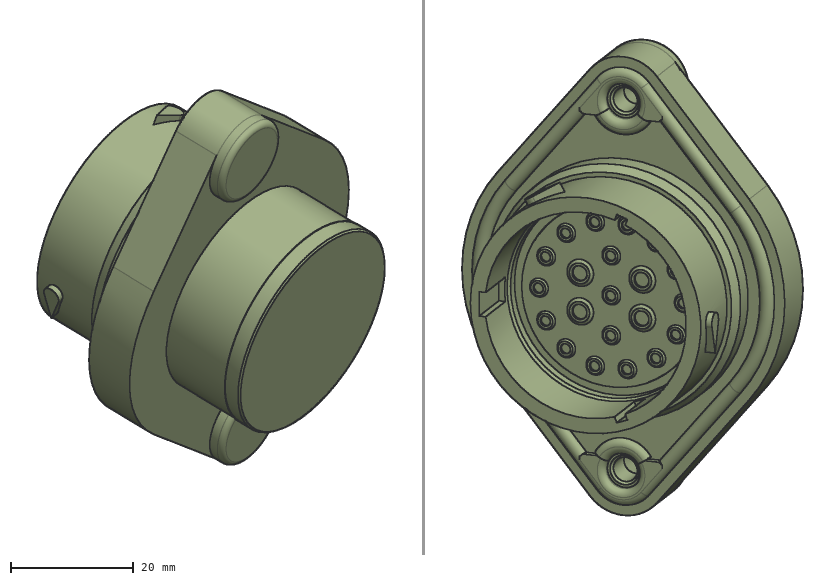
import cadquery as cq
import math

shoulder_x = 12.3
shoulder_full_x = 14.15
flange_front_x = 17.7
flange_back_x = 26.3
boss_end_x = 28.85
rear_collar_x = 38.7
overall_length = 41.8

barrel_diameter = 40.1
shoulder_start_diameter = 41.7
shoulder_diameter = 43.5
rear_diameter = 37.4
rear_collar_diameter = 37.6
rear_chamfer = 0.3

cavity_diameter = 35.0
cavity_inner_diameter = 34.4
cavity_taper_start = 10.3
cavity_taper_end = 11.1
cavity_depth = 13.0
insert_diameter = 31.2
insert_face_x = 12.05

keyways = [(180, 4.15), (70, 1.95), (-70, 1.95)]
keyway_outer_radius = 18.5
keyway_length = 9.2

contact_height = 0.4
small_contact_base = 3.2
small_contact_top = 2.6
small_contact_bore = 1.7
large_contact_base = 4.6
large_contact_top = 3.5
large_contact_bore = 2.6
contact_bore_depth = 0.5
outer_contact_count = 14
outer_contact_radius = 12.6
inner_contact_offset = 6.8
large_contact_y = 5.4
large_contact_z = 3.3

flange_height = 78.2
flange_width = 56.2
tip_radius = 7.6
tip_z = flange_height / 2 - tip_radius
side_radius = 26.75
side_center_y = flange_width / 2 - side_radius
boss_edge_round = 1.0

bead_inset = 3.05
bead_half_width = 1.25
bead_height = 1.2
bead_root = 0.2
bead_crest_x = flange_front_x - bead_height

pad_inner_z = 29.0
pad_corner_y = 7.2
pad_corner_z = 29.5
pad_notch_slope = 31.0
ring_crest_radius = 4.45
ring_outer_radius = 5.6

hole_mouth_radius = 4.15
hole_throat_radius = 3.0
hole_lead_in_radius = 2.5
hole_diameter = 4.15
hole_ledge_depth = 1.7
hole_lead_in = 0.4
hole_depth = 7.0
hole_cone_height = 0.8

mark_count = 3
mark_x = 3.9
mark_head_radius = 1.6
mark_tail_length = 5.3
mark_face_radius = 21.1
mark_root_radius = 18.8


def cylinder(diameter, start_x, end_x, z):
    """Cylinder along X between two stations."""
    plane = cq.Workplane("YZ", origin=(start_x, 0, z))
    return plane.circle(diameter / 2).extrude(end_x - start_x)


def tangent_angle():
    """Angle above Y of the normal to the straight flange edges."""
    reach = math.hypot(tip_z, side_center_y)
    lean = math.atan2(side_center_y, tip_z)
    return math.asin((side_radius - tip_radius) / reach) + lean


edge_angle = tangent_angle()


def tip_point(inset, side):
    """Upper point where a tip arc meets a straight edge, on the +Y or -Y side."""
    radius = tip_radius - inset
    return side * radius * math.cos(edge_angle), tip_z + radius * math.sin(edge_angle)


def side_point(inset, side):
    """Upper point where a side arc meets a straight edge, on the +Y or -Y side."""
    radius = side_radius - inset
    return side * (side_center_y + radius * math.cos(edge_angle)), radius * math.sin(edge_angle)


def mirrored(point):
    """Point reflected from the upper to the lower half of the flange."""
    return point[0], -point[1]


def outline_wire(plane, inset):
    """Closed flange outline moved inwards by the inset."""
    tip = flange_height / 2 - inset
    side = flange_width / 2 - inset
    right = side_point(inset, 1)
    left = side_point(inset, -1)
    right_tip = tip_point(inset, 1)
    left_tip = tip_point(inset, -1)
    return (
        plane.moveTo(*right_tip)
        .lineTo(*right)
        .threePointArc((side, 0), mirrored(right))
        .lineTo(*mirrored(right_tip))
        .threePointArc((0, -tip), mirrored(left_tip))
        .lineTo(*mirrored(left))
        .threePointArc((-side, 0), left)
        .lineTo(*left_tip)
        .threePointArc((0, tip), right_tip)
        .close()
    )


def flange_prism(inset, start_x, end_x):
    """Flange outline moved inwards by the inset and extruded along X."""
    plane = cq.Workplane("YZ", origin=(start_x, 0, 0))
    return outline_wire(plane, inset).extrude(end_x - start_x)


def turned_body():
    """Barrel, shoulder and rear body turned about the X axis."""
    profile = [
        (0, 0),
        (0, barrel_diameter / 2),
        (shoulder_x, barrel_diameter / 2),
        (shoulder_x, shoulder_start_diameter / 2),
        (shoulder_full_x, shoulder_diameter / 2),
        (flange_back_x, shoulder_diameter / 2),
        (flange_back_x, rear_diameter / 2),
        (rear_collar_x, rear_diameter / 2),
        (rear_collar_x, rear_collar_diameter / 2),
        (overall_length - rear_chamfer, rear_collar_diameter / 2),
        (overall_length, rear_collar_diameter / 2 - rear_chamfer),
        (overall_length, 0),
    ]
    return cq.Workplane("XY").polyline(profile).close().revolve(360, (0, 0, 0), (1, 0, 0))


def boss(z):
    """Round boss behind a flange tip, with a rounded rear edge."""
    post = cylinder(2 * tip_radius, flange_front_x, boss_end_x, z)
    return post.faces(">X").edges().fillet(boss_edge_round)


def sealing_bead():
    """Half-round bead following the flange outline."""
    path = outline_wire(cq.Workplane("YZ", origin=(flange_front_x, 0, 0)), bead_inset)
    start_y, start_z = tip_point(bead_inset, 1)
    outward = (0, math.cos(edge_angle), math.sin(edge_angle))
    along = (0, -math.sin(edge_angle), math.cos(edge_angle))
    section = cq.Plane((flange_front_x, start_y, start_z), outward, along)
    profile = (
        cq.Workplane(section)
        .moveTo(-bead_half_width, -bead_root)
        .lineTo(-bead_half_width, 0)
        .threePointArc((0, bead_height), (bead_half_width, 0))
        .lineTo(bead_half_width, -bead_root)
        .close()
    )
    return profile.sweep(path)


def hole_ring(z):
    """Raised arc round the side of a hole nearest the connector axis, between the pad notch edges."""
    diagonal = math.sqrt(0.5)
    outer_run = ring_outer_radius - ring_crest_radius
    inner_run = ring_crest_radius - hole_throat_radius
    profile = (
        cq.Workplane("XY", origin=(0, 0, z))
        .moveTo(flange_front_x + bead_root, hole_throat_radius)
        .lineTo(flange_front_x, hole_throat_radius)
        .threePointArc(
            (flange_front_x - bead_height * diagonal, ring_crest_radius - inner_run * diagonal),
            (bead_crest_x, ring_crest_radius),
        )
        .threePointArc(
            (flange_front_x - bead_height * diagonal, ring_crest_radius + outer_run * diagonal),
            (flange_front_x, ring_outer_radius),
        )
        .lineTo(flange_front_x + bead_root, ring_outer_radius)
        .close()
    )
    start_angle = pad_notch_slope - 180 if z > 0 else pad_notch_slope
    sector = profile.revolve(180 - 2 * pad_notch_slope, (0, 0, 0), (1, 0, 0))
    return sector.rotate((0, 0, z), (1, 0, z), start_angle)


def tip_pads():
    """Flat pads between the bead and the hole rings, level with the bead crest."""
    corner_run = (pad_corner_z - pad_inner_z) / math.tan(edge_angle)
    edge_y = pad_corner_y - corner_run
    notch_y = (tip_z - pad_inner_z) / math.tan(math.radians(pad_notch_slope))
    window = (
        cq.Workplane("YZ", origin=(bead_crest_x, 0, 0))
        .moveTo(0, tip_z)
        .lineTo(notch_y, pad_inner_z)
        .lineTo(edge_y, pad_inner_z)
        .lineTo(pad_corner_y, pad_corner_z)
        .lineTo(pad_corner_y, flange_height / 2)
        .lineTo(-pad_corner_y, flange_height / 2)
        .lineTo(-pad_corner_y, pad_corner_z)
        .lineTo(-edge_y, pad_inner_z)
        .lineTo(-notch_y, pad_inner_z)
        .close()
        .extrude(bead_height)
    )
    pad = flange_prism(bead_inset, bead_crest_x, flange_front_x).intersect(window)
    return pad.union(pad.mirror("XY"))


def mounting_hole(z):
    """Blind hole with a ledge, a lead-in and a conical bottom, below the mouth."""
    ledge_x = bead_crest_x + hole_ledge_depth
    bottom_x = bead_crest_x + hole_depth
    profile = [
        (bead_crest_x, 0),
        (bead_crest_x, hole_throat_radius),
        (ledge_x, hole_throat_radius),
        (ledge_x, hole_lead_in_radius),
        (ledge_x + hole_lead_in, hole_diameter / 2),
        (bottom_x, hole_diameter / 2),
        (bottom_x + hole_cone_height, 0),
    ]
    plane = cq.Workplane("XY", origin=(0, 0, z))
    return plane.polyline(profile).close().revolve(360, (0, 0, 0), (1, 0, 0))


def hole_mouth(z):
    """Flare that rounds the edge of a pad into the hole."""
    mouth_round = hole_mouth_radius - hole_throat_radius
    bend = mouth_round * (1 - math.sqrt(0.5))
    profile = (
        cq.Workplane("XY", origin=(0, 0, z))
        .moveTo(bead_crest_x, 0)
        .lineTo(bead_crest_x, hole_mouth_radius)
        .threePointArc(
            (bead_crest_x + bend, hole_throat_radius + bend),
            (bead_crest_x + mouth_round, hole_throat_radius),
        )
        .lineTo(bead_crest_x + mouth_round, 0)
        .close()
    )
    return profile.revolve(360, (0, 0, 0), (1, 0, 0))


def cavity():
    """Open barrel bore with a tapered step, leaving the contact insert standing."""
    profile = [
        (0, 0),
        (0, cavity_diameter / 2),
        (cavity_taper_start, cavity_diameter / 2),
        (cavity_taper_end, cavity_inner_diameter / 2),
        (cavity_depth, cavity_inner_diameter / 2),
        (cavity_depth, insert_diameter / 2),
        (insert_face_x, insert_diameter / 2),
        (insert_face_x, 0),
    ]
    return cq.Workplane("XY").polyline(profile).close().revolve(360, (0, 0, 0), (1, 0, 0))


def keyway(angle, width):
    """Axial groove in the cavity wall, open at the mouth."""
    slot = cq.Workplane("XY").box(
        keyway_length, keyway_outer_radius, width, centered=(False, False, True)
    )
    slot = slot.translate((0, -keyway_outer_radius, 0))
    return slot.rotate((0, 0, 0), (1, 0, 0), -angle)


def teardrop_mark(angle):
    """Flat-topped teardrop standing on the barrel, its tail pointing round the barrel."""
    half_chord = math.acos(mark_head_radius / mark_tail_length)
    tangent_x = mark_head_radius * math.sin(half_chord)
    tangent_z = -mark_head_radius * math.cos(half_chord)
    drop = (
        cq.Workplane("XZ", origin=(mark_x, -mark_root_radius, 0))
        .moveTo(0, -mark_tail_length)
        .lineTo(tangent_x, tangent_z)
        .threePointArc((0, mark_head_radius), (-tangent_x, tangent_z))
        .close()
        .extrude(mark_face_radius - mark_root_radius)
    )
    return drop.rotate((0, 0, 0), (1, 0, 0), -angle)


def contact_layout():
    """Positions of the small and the large contacts."""
    small = [(0, 0), (0, inner_contact_offset), (0, -inner_contact_offset)]
    for index in range(outer_contact_count):
        angle = 2 * math.pi * index / outer_contact_count
        small.append((outer_contact_radius * math.cos(angle), outer_contact_radius * math.sin(angle)))
    large = [(y * large_contact_y, z * large_contact_z) for y in (-1, 1) for z in (-1, 1)]
    return small, large


def add_contacts(body, places, base, top, bore):
    """Tapered collars with blind bores on the insert face."""
    face = cq.Workplane("YZ", origin=(insert_face_x, 0, 0)).pushPoints(places)
    taper = math.degrees(math.atan2((base - top) / 2, contact_height))
    collars = face.circle(base / 2).extrude(-contact_height, taper=taper)
    top_face = cq.Workplane("YZ", origin=(insert_face_x - contact_height, 0, 0))
    bores = top_face.pushPoints(places).circle(bore / 2).extrude(contact_bore_depth)
    return body.union(collars).cut(bores)


body = turned_body().union(flange_prism(0, flange_front_x, flange_back_x))
pads = tip_pads()
for hole_z in (tip_z, -tip_z):
    body = body.union(boss(hole_z))
    pads = pads.cut(hole_mouth(hole_z))
body = body.union(sealing_bead()).union(pads)
for hole_z in (tip_z, -tip_z):
    body = body.union(hole_ring(hole_z)).cut(mounting_hole(hole_z))

for index in range(mark_count):
    body = body.union(teardrop_mark(index * 360 / mark_count))
body = body.cut(cavity())
for angle, width in keyways:
    body = body.cut(keyway(angle, width))

small_contacts, large_contacts = contact_layout()
body = add_contacts(body, small_contacts, small_contact_base, small_contact_top, small_contact_bore)
body = add_contacts(body, large_contacts, large_contact_base, large_contact_top, large_contact_bore)

result = body